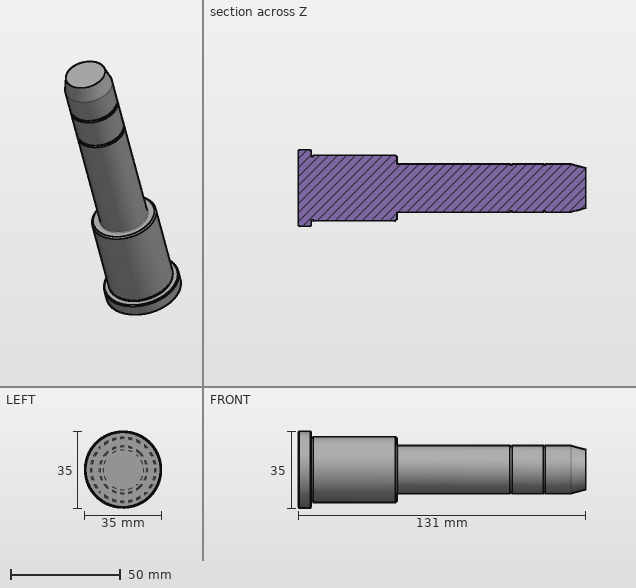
import cadquery as cq
import math

flange_diameter = 35.0
flange_length = 6.0
flange_chamfer = 0.5

shank_diameter = 30.0
shank_end = 45.0
shank_chamfer = 0.8
neck_width = 0.8
neck_depth = 0.5

total_length = 131.0
pin_diameter = 22.0
pin_root_fillet = 0.4
nose_length = 7.0
nose_angle = 15.0
groove_radius = 0.5
last_groove_x = 112.0
groove_spacing = 15.0
groove_count = 2

x_axis = cq.Vector(1, 0, 0)


def cylinder(diameter, start, end):
    """Solid cylinder on the X axis between two stations."""
    return cq.Workplane("YZ").workplane(offset=start).circle(diameter / 2).extrude(end - start)


def make_flange():
    """Disc with both rims chamfered."""
    return cylinder(flange_diameter, 0, flange_length).edges().chamfer(flange_chamfer)


def make_shank():
    """Relief neck followed by the shank, chamfered at its free end."""
    neck_end = flange_length + neck_width
    neck = cylinder(shank_diameter - 2 * neck_depth, flange_length, neck_end)
    body = cylinder(shank_diameter, neck_end, shank_end).faces(">X").edges().chamfer(shank_chamfer)
    return neck.union(body)


def make_pin():
    """Pin with a conical nose and semicircular grooves around it."""
    nose_drop = nose_length * math.tan(math.radians(nose_angle))
    pin = cylinder(pin_diameter, shank_end, total_length)
    pin = pin.faces(">X").chamfer(nose_length, nose_drop)
    for index in range(groove_count):
        center = cq.Vector(last_groove_x - index * groove_spacing, 0, 0)
        pin = pin.cut(cq.Workplane(cq.Solid.makeTorus(pin_diameter / 2, groove_radius, center, x_axis)))
    return pin


def round_pin_root(body):
    """Small fillet in the corner between the shank shoulder and the pin."""
    margin = 0.1
    shoulder_box = cq.selectors.BoxSelector(
        (shank_end - margin, -pin_diameter, -pin_diameter),
        (shank_end + margin, pin_diameter, pin_diameter),
    )
    shoulder_edges = body.edges(shoulder_box)
    return shoulder_edges.edges(cq.selectors.RadiusNthSelector(0)).fillet(pin_root_fillet)


result = round_pin_root(make_flange().union(make_shank()).union(make_pin()))